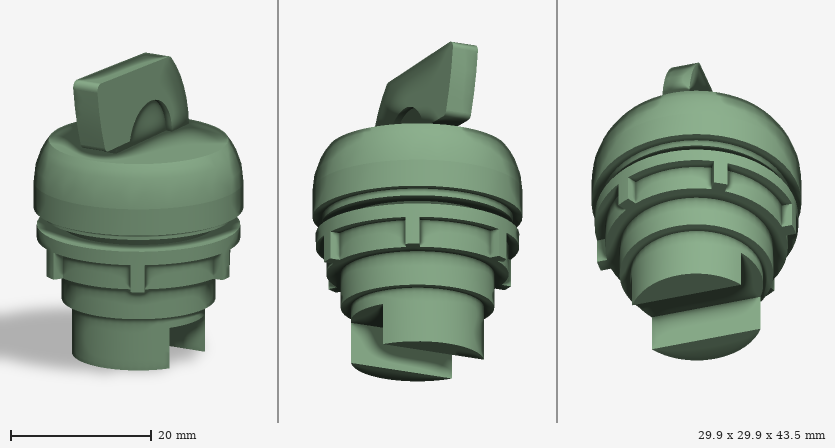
import cadquery as cq
import math

leg_slot_top = 6.0
body_bottom = 8.0
nut_bottom = 13.0
nut_flange_bottom = 17.0
nut_top = 19.0
gasket_bottom = 20.5
cap_bottom = 21.5
dome_base = 25.4
cap_top = 31.5

collar_radius = 9.5
body_radius = 10.95
nut_core_radius = 13.0
nut_radius = 14.5
gasket_radius = 13.62
cap_radius = 14.95
cap_top_radius = 12.8

leg_slot_width = 10.0

tab_count = 6
tab_width = 2.0

lever_thickness = 4.0
lever_back_foot_y = 10.8
lever_back_mid = (8.7, 38.7)
lever_back_top = (5.5, 42.8)
lever_top_slope = math.radians(2.05)
lever_nose_top_y = -15.08
lever_nose_mid = (-14.25, 38.4)
lever_nose_bottom_y = -12.6
lever_underside = cap_top + 1.45
lever_corner_radius = 1.0

web_thickness = 2.0
web_front_y = -8.0
recess_radius = 6.0


def disc(radius, bottom, top):
    """Solid cylinder on the main axis between two heights."""
    return cq.Workplane("XY").workplane(offset=bottom).circle(radius).extrude(top - bottom)


def make_body():
    """Plain round barrel with a slotted collar below it."""
    barrel = disc(body_radius, body_bottom, cap_bottom)
    collar = disc(collar_radius, 0, body_bottom)
    slot = cq.Workplane("XY").rect(2 * cap_radius, leg_slot_width).extrude(leg_slot_top)
    return barrel.union(collar.cut(slot))


def make_nut():
    """Flanged ring nut with evenly spaced tabs hanging below the flange."""
    nut = disc(nut_radius, nut_flange_bottom, nut_top)
    nut = nut.union(disc(nut_core_radius, nut_bottom, nut_flange_bottom))
    envelope = disc(nut_radius, nut_bottom, nut_flange_bottom)
    tab_bar_length = nut_radius + tab_width
    for index in range(tab_count):
        bar = (
            cq.Workplane("XY")
            .workplane(offset=nut_bottom)
            .center(tab_bar_length / 2, 0)
            .rect(tab_bar_length, tab_width)
            .extrude(nut_flange_bottom - nut_bottom)
            .rotate((0, 0, 0), (0, 0, 1), index * 360 / tab_count)
        )
        nut = nut.union(bar.intersect(envelope))
    return nut


def make_cap():
    """Cap with a domed shoulder tangent to its cylindrical rim, plus the gasket below."""
    inset = cap_radius - cap_top_radius
    rise = cap_top - dome_base
    dome_radius = (inset**2 + rise**2) / (2 * inset)
    half_angle = math.asin(rise / dome_radius) / 2
    dome_middle = (
        cap_radius - dome_radius * (1 - math.cos(half_angle)),
        dome_base + dome_radius * math.sin(half_angle),
    )
    cap = (
        cq.Workplane("XZ")
        .moveTo(0, cap_bottom)
        .lineTo(cap_radius, cap_bottom)
        .lineTo(cap_radius, dome_base)
        .threePointArc(dome_middle, (cap_top_radius, cap_top))
        .lineTo(0, cap_top)
        .close()
        .revolve(360, (0, 0, 0), (0, 1, 0))
    )
    return cap.union(disc(gasket_radius, gasket_bottom, cap_bottom))


def make_lever():
    """Handle with rounded corners, hollowed beside a thin central web."""
    back_top_y, back_top_z = lever_back_top
    nose_top_z = back_top_z + (back_top_y - lever_nose_top_y) * math.tan(lever_top_slope)
    recess_edge_y = -math.sqrt(recess_radius**2 - (lever_underside - cap_top) ** 2)
    handle = (
        cq.Workplane("YZ")
        .moveTo(lever_back_foot_y, cap_top)
        .threePointArc(lever_back_mid, lever_back_top)
        .lineTo(lever_nose_top_y, nose_top_z)
        .threePointArc(lever_nose_mid, (lever_nose_bottom_y, lever_underside))
        .lineTo(recess_edge_y, lever_underside)
        .threePointArc((0, cap_top + recess_radius), (recess_radius, cap_top))
        .close()
        .extrude(lever_thickness / 2, both=True)
    )
    sharp_corners = (
        (lever_nose_bottom_y, lever_underside),
        (lever_nose_top_y, nose_top_z),
        lever_back_top,
    )
    for corner_y, corner_z in sharp_corners:
        nearest = cq.selectors.NearestToPointSelector((0, corner_y, corner_z))
        handle = handle.edges("|X").edges(nearest).fillet(lever_corner_radius)

    web_length = recess_radius - web_front_y
    web = (
        cq.Workplane("XY")
        .workplane(offset=cap_top)
        .center(0, web_front_y + web_length / 2)
        .rect(web_thickness, web_length)
        .extrude(recess_radius)
    )
    return handle.union(web)


result = make_body().union(make_nut()).union(make_cap()).union(make_lever())